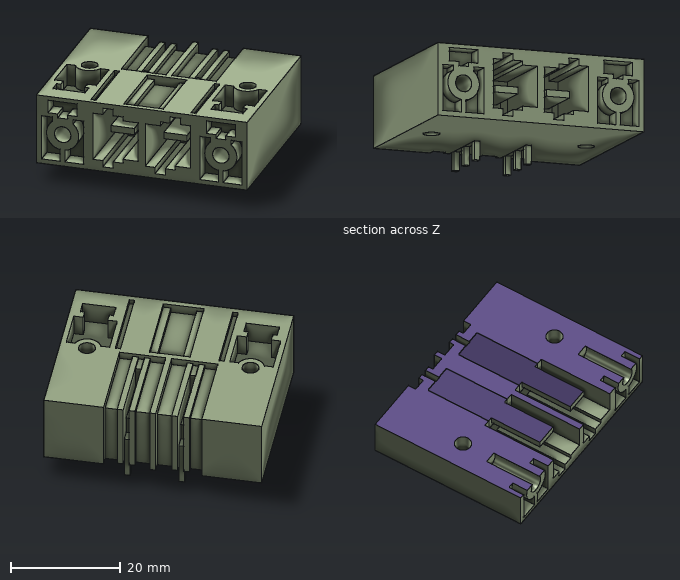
import cadquery as cq


housing_width = 40.64
housing_length = 32.0
housing_height = 13.6
mid_height = housing_height / 2
contact_x = 5.08
flange_x = 3 * contact_x
sides = (-1, 1)

cavity_width = 8.67
cavity_center_x = 5.02
cavity_depth = 15.0
cavity_half_height = 3.85
step_half_height = 4.62
key_half_height = 5.87
step_width = 5.75
key_offset = 1.86
key_width = 2.0

screw_diameter = 3.15
screw_z = 6.33
screw_depth = 10.0
screw_boss_radius = 3.1
pocket_depth = 3.2
pocket_width = 8.1
pocket_bottom = 0.93
pocket_top = 9.56
boss_neck_width = 4.0
boss_rib_width = 0.93
tee_stem_width = 1.9
tee_head_width = 5.6
tee_head_bottom = 10.33
tee_head_top = 12.83

mount_y = 16.0
mount_diameter = 3.05
mount_boss_radius = 2.6
recess_rear = 15.0
recess_floor = 9.4
recess_body_front = 7.52
recess_neck_front = 6.02
recess_head_front = 3.7
recess_neck_width = 4.58
recess_head_width = 6.2

groove_front = 1.08
groove_inner_x = 9.16
groove_width = 0.98
groove_depth = 1.0
center_width = 7.6
center_depth = 0.8
center_floor_width = 4.8
center_floor_depth = 1.8

notch_width = 2 * groove_inner_x
notch_front = 16.07
terrace_rear = 30.4
terrace_depth = 1.45
web_width = 1.1
rib_width = 1.1
rib_rear = 31.35
rib_drop = 0.6
slot_floor_depth = 1.05

blade_tip_y = 4.35
blade_width = 4.5
blade_thickness = 1.25
block_width = 6.05
block_height = 3.42
block_rear = 28.28
tail_thickness = 1.1
leg_depth = 1.2
leg_length = 3.5
leg_pitch = 5.08
leg_count = 3
tail_rear = 30.25
tail_front = tail_rear - (leg_count - 1) * leg_pitch - leg_depth
tail_top = mid_height - block_height / 2


def box(x_min, x_max, y_min, y_max, z_min, z_max):
    size = (x_max - x_min, y_max - y_min, z_max - z_min)
    return cq.Workplane("XY").box(*size, centered=False).translate((x_min, y_min, z_min))


def centered_box(x, width, y_min, y_max, z_min, z_max):
    return box(x - width / 2, x + width / 2, y_min, y_max, z_min, z_max)


def cylinder_y(x, z, radius, length):
    return cq.Workplane("XZ").center(x, z).circle(radius).extrude(-length)


def cylinder_z(x, y, radius):
    return cq.Workplane("XY").center(x, y).circle(radius).extrude(housing_height)


def keyway(wall_x, inward, vertical):
    """Step and key slot above (vertical 1) or below (-1) a cavity, set out from one side wall."""
    step_x = wall_x + inward * step_width / 2
    key_x = wall_x + inward * (key_offset + key_width / 2)
    step_z = sorted((mid_height, mid_height + vertical * step_half_height))
    key_z = sorted((mid_height, mid_height + vertical * key_half_height))
    step = centered_box(step_x, step_width, 0, cavity_depth, *step_z)
    key = centered_box(key_x, key_width, 0, cavity_depth, *key_z)
    return step.union(key)


def cavity(side):
    """Mating cavity: upper keyway from the outer wall, lower keyway always from the -X wall."""
    center = side * cavity_center_x
    z_low, z_high = mid_height - cavity_half_height, mid_height + cavity_half_height
    plain = centered_box(center, cavity_width, 0, cavity_depth, z_low, z_high)
    upper = keyway(center + side * cavity_width / 2, -side, 1)
    lower = keyway(center - cavity_width / 2, 1, -1)
    return plain.union(upper).union(lower)


def flange_front_pockets(x):
    """Pocket around the screw boss, with a tee-shaped pocket above it."""
    pocket = centered_box(x, pocket_width, 0, pocket_depth, pocket_bottom, pocket_top)
    pocket = pocket.cut(cylinder_y(x, screw_z, screw_boss_radius, pocket_depth))
    pocket = pocket.cut(centered_box(x, boss_neck_width, 0, pocket_depth, screw_z, pocket_top))
    pocket = pocket.cut(centered_box(x, boss_rib_width, 0, pocket_depth, pocket_bottom, screw_z))
    stem = centered_box(x, tee_stem_width, 0, pocket_depth, pocket_top, tee_head_bottom)
    head = centered_box(x, tee_head_width, 0, pocket_depth, tee_head_bottom, tee_head_top)
    return pocket.union(stem.union(head))


def flange_top_recess(x):
    """Recess in the top, narrowed by a neck and stopped at the mounting boss."""
    levels = (recess_floor, housing_height)
    body = centered_box(x, pocket_width, recess_body_front, recess_rear, *levels)
    neck = centered_box(x, recess_neck_width, recess_neck_front, recess_body_front, *levels)
    head = centered_box(x, recess_head_width, recess_head_front, recess_neck_front, *levels)
    return body.union(neck).union(head).cut(cylinder_z(x, mount_y, mount_boss_radius))


def rear_notch():
    """Volume removed at the rear, leaving the terrace, the centre web and two ribs per contact."""
    terrace_z = housing_height - terrace_depth
    notch = centered_box(0, notch_width, notch_front, terrace_rear, terrace_z, housing_height)
    notch = notch.union(
        centered_box(0, notch_width, terrace_rear, housing_length, 0, housing_height)
    )
    notch = notch.cut(centered_box(0, web_width, notch_front, housing_length, 0, housing_height))
    slot_floor_z = housing_height - slot_floor_depth
    rib_pair_width = tail_thickness + 2 * rib_width
    for side in sides:
        x = side * contact_x
        ribs = centered_box(x, rib_pair_width, notch_front, rib_rear, 0, housing_height - rib_drop)
        gap = centered_box(x, tail_thickness, tail_front, rib_rear, 0, housing_height)
        gap_front = centered_box(x, tail_thickness, notch_front, tail_front, slot_floor_z, housing_height)
        notch = notch.cut(ribs).union(gap).union(gap_front)
    return notch


def contact_block(x):
    z_low, z_high = mid_height - block_height / 2, mid_height + block_height / 2
    return centered_box(x, block_width, cavity_depth, block_rear, z_low, z_high)


def make_housing():
    body = centered_box(0, housing_width, 0, housing_length, 0, housing_height)
    body = body.cut(rear_notch())

    center_z = housing_height - center_depth
    body = body.cut(
        centered_box(0, center_width, groove_front, recess_rear, center_z, housing_height)
    )
    center_floor_z = housing_height - center_floor_depth
    body = body.cut(
        centered_box(0, center_floor_width, groove_front, recess_rear, center_floor_z, center_z)
    )

    groove_x = groove_inner_x + groove_width / 2
    groove_z = housing_height - groove_depth
    for side in sides:
        x = side * flange_x
        body = body.cut(cavity(side))
        body = body.cut(contact_block(side * contact_x))
        body = body.cut(flange_front_pockets(x))
        body = body.cut(cylinder_y(x, screw_z, screw_diameter / 2, screw_depth))
        body = body.cut(flange_top_recess(x))
        body = body.cut(cylinder_z(x, mount_y, mount_diameter / 2))
        body = body.cut(
            centered_box(
                side * groove_x, groove_width, groove_front, recess_rear, groove_z, housing_height
            )
        )
    return body


def make_contact(x):
    """Blade in the cavity, block held in the housing, and a tail plate with a row of legs."""
    z_low, z_high = mid_height - blade_thickness / 2, mid_height + blade_thickness / 2
    blade = centered_box(x, blade_width, blade_tip_y, cavity_depth, z_low, z_high)
    tail = centered_box(x, tail_thickness, tail_front, tail_rear, 0, tail_top)
    contact = contact_block(x).union(blade).union(tail)
    for index in range(leg_count):
        front = tail_front + index * leg_pitch
        leg = centered_box(x, tail_thickness, front, front + leg_depth, -leg_length, 0)
        contact = contact.union(leg)
    return contact


housing = make_housing()
contacts = [make_contact(side * contact_x) for side in sides]

result = cq.Compound.makeCompound([housing.val(), *[contact.val() for contact in contacts]])